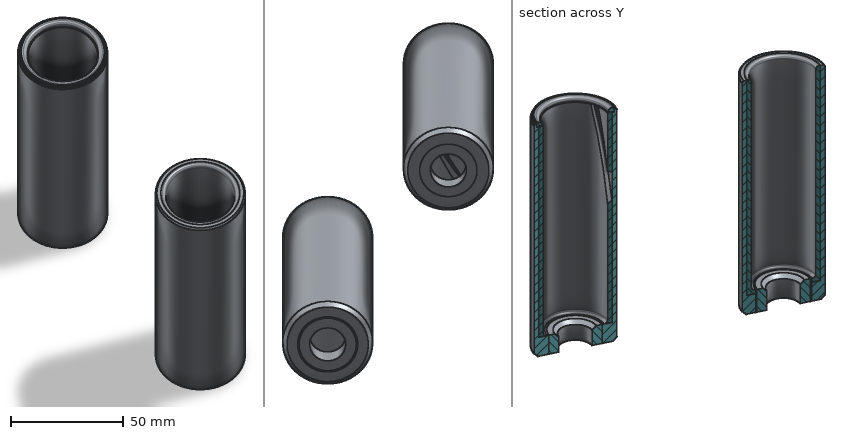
import cadquery as cq

overall_length = 140.0
tube_diameter = 40.0
tube_height = 120.0
tube_radius = tube_diameter / 2
tube_offset = (overall_length - tube_diameter) / 2
base_chamfer = 2.0

floor_thickness = 10.0
core_radius = 12.7
drain_radius = 16.0 / 2
drain_chamfer = 2.0

sleeve_outer_radius = 35.1 / 2
sleeve_inner_radius = 30.8 / 2

left_rim_drop = 1.5
left_rim_inset = 0.8
lip_ring_height = 2.5
lip_top_radius = 18.5
lip_shoulder_radius = 19.3
lip_shoulder_drop = 0.5
lip_flange_radius = 19.6
lip_flange_drop = 1.0
lip_inner_radius = 15.8
lip_round = sleeve_outer_radius - lip_inner_radius
liner_foot_round = 1.7
lip_bottom = tube_height - lip_ring_height
lip_shoulder_level = tube_height - lip_shoulder_drop
lip_flange_level = tube_height - lip_flange_drop

slit_width = 3.9
slit_top_angle = 34.0
slit_twist = 96.0

right_rim_drop = 1.0
right_rim_inset = 0.7
sleeve_rim_width = 0.5
sleeve_mouth_round = sleeve_outer_radius - sleeve_rim_width - sleeve_inner_radius
sleeve_foot_round = 1.4
sleeve_foot_thickness = 2.0
floor_ring_radius = 26.7 / 2
floor_ring_height = floor_thickness + sleeve_foot_thickness


def cylinder(radius, height, bottom=0.0):
    """Solid cylinder on the tube axis, starting at the level `bottom`."""
    return cq.Workplane("XY", origin=(0, 0, bottom)).circle(radius).extrude(height)


def round_mouth(ring, radius):
    """Round the inner edge at the top of a ring."""
    return ring.faces(">Z").edges(cq.selectors.RadiusNthSelector(0)).fillet(radius)


def make_housing(rim_drop, rim_inset, floor_hole_radius):
    """Outer tube with a chamfered base and rim, a bore and a hole in its floor."""
    housing = cylinder(tube_radius, tube_height)
    housing = housing.faces("<Z").chamfer(base_chamfer)
    housing = housing.faces(">Z").chamfer(rim_drop, rim_inset)
    bore = cylinder(sleeve_outer_radius, tube_height - floor_thickness, floor_thickness)
    return housing.cut(bore).cut(cylinder(floor_hole_radius, floor_thickness))


def make_core(height):
    """Plug in the tube floor with a drain hole, countersunk from above."""
    core = cylinder(core_radius, height).cut(cylinder(drain_radius, height))
    return core.faces(">Z").edges(cq.selectors.RadiusNthSelector(0)).chamfer(drain_chamfer)


def make_lip_blank():
    """Solid of revolution with the outer shape of the lip ring, whose flange tapers under the rim."""
    return (
        cq.Workplane("XZ")
        .moveTo(0, lip_bottom)
        .lineTo(lip_top_radius, lip_bottom)
        .lineTo(lip_top_radius, lip_flange_level)
        .lineTo(lip_flange_radius, lip_flange_level)
        .lineTo(lip_shoulder_radius, lip_shoulder_level)
        .lineTo(lip_top_radius, tube_height)
        .lineTo(0, tube_height)
        .close()
        .revolve(360, (0, 0, 0), (0, 1, 0))
    )


def make_lip_ring():
    """Ring at the mouth of the left tube with a rounded inner edge."""
    ring = make_lip_blank().cut(cylinder(lip_inner_radius, lip_ring_height, lip_bottom))
    return round_mouth(ring, lip_round)


def make_sleeve(top, foot_round, foot_thickness):
    """Sleeve standing on the tube floor, with a rounded inner corner at its foot."""
    foot_top = floor_thickness + foot_thickness
    bore = cylinder(sleeve_inner_radius, top - floor_thickness, foot_top)
    bore = bore.faces("<Z").edges().fillet(foot_round)
    return cylinder(sleeve_outer_radius, top - floor_thickness, floor_thickness).cut(bore)


def make_slit():
    """Twisted bar, reaching from the axis out through the liner wall."""
    height = lip_bottom - floor_thickness
    bar_length = tube_radius
    return (
        cq.Workplane("XY", origin=(0, 0, floor_thickness))
        .moveTo(bar_length / 2, 0)
        .rect(bar_length, slit_width)
        .twistExtrude(height, slit_twist)
        .rotate((0, 0, 0), (0, 0, 1), slit_top_angle - slit_twist)
    )


def make_liner():
    """Left sleeve with one slanted slit along its whole length."""
    return make_sleeve(lip_bottom, liner_foot_round, 0.0).cut(make_slit())


def make_right_sleeve():
    """Right sleeve with a rounded mouth and an inward foot around the floor ring."""
    sleeve = make_sleeve(tube_height, sleeve_foot_round, sleeve_foot_thickness)
    sleeve = round_mouth(sleeve, sleeve_mouth_round)
    return sleeve.cut(cylinder(floor_ring_radius, sleeve_foot_thickness, floor_thickness))


def make_floor_ring():
    """Ring between the core and the right housing and sleeve."""
    return cylinder(floor_ring_radius, floor_ring_height).cut(cylinder(core_radius, floor_ring_height))


left_bodies = [
    make_housing(left_rim_drop, left_rim_inset, core_radius).cut(make_lip_blank()),
    make_lip_ring(),
    make_liner(),
    make_core(floor_thickness),
]
right_bodies = [
    make_housing(right_rim_drop, right_rim_inset, floor_ring_radius),
    make_right_sleeve(),
    make_floor_ring(),
    make_core(floor_ring_height),
]

left_solids = [body.translate((-tube_offset, 0, 0)).val() for body in left_bodies]
right_solids = [body.translate((tube_offset, 0, 0)).val() for body in right_bodies]
result = cq.Compound.makeCompound([*left_solids, *right_solids])